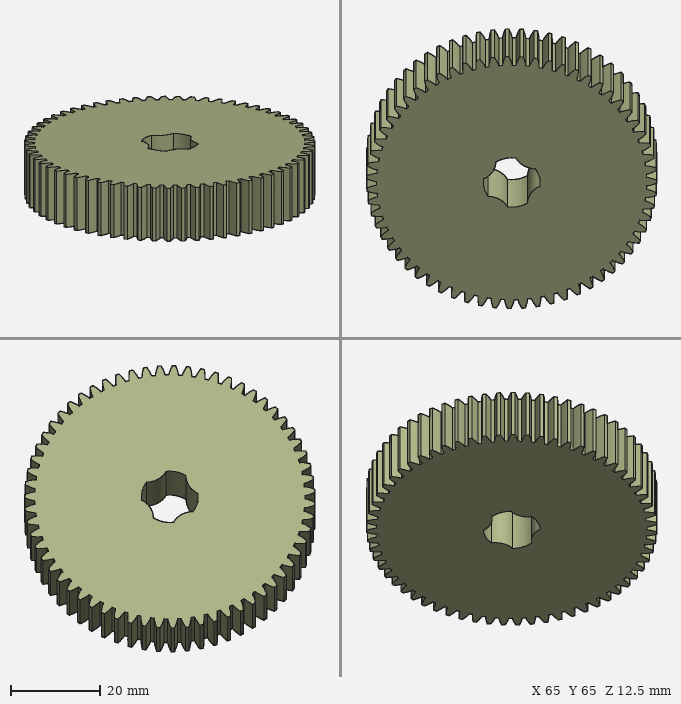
import math

import cadquery as cq

module = 1.0
tooth_count = 63
pressure_angle = math.radians(20)
addendum = module
dedendum = 1.25 * module
face_width = 12.5

pitch_radius = module * tooth_count / 2
base_radius = pitch_radius * math.cos(pressure_angle)
tip_radius = pitch_radius + addendum
root_radius = pitch_radius - dedendum
tooth_pitch_angle = 2 * math.pi / tooth_count
flank_steps = 4

bore_radius = 6.35
key_count = 4
key_crest_distance = 5.1
key_radius = 5.0


def polar(radius, angle):
    return (radius * math.cos(angle), radius * math.sin(angle))


def involute(angle):
    return math.tan(angle) - angle


def half_tooth_angle(radius):
    """Half the angle that a tooth spans at the given radius."""
    local_pressure_angle = math.acos(base_radius / radius)
    return tooth_pitch_angle / 4 + involute(pressure_angle) - involute(local_pressure_angle)


def make_gear_blank():
    """Toothed disc with one tooth centred on +X."""
    flank_step = (tip_radius - root_radius) / flank_steps
    flank_radii = [root_radius + flank_step * step for step in range(flank_steps + 1)]
    half_root_angle = half_tooth_angle(root_radius)

    outline = cq.Workplane("XY").moveTo(*polar(root_radius, -half_root_angle))
    for tooth in range(tooth_count):
        centre = tooth * tooth_pitch_angle
        next_centre = centre + tooth_pitch_angle
        gap_centre = centre + tooth_pitch_angle / 2
        rising = [polar(r, centre - half_tooth_angle(r)) for r in flank_radii]
        falling = [polar(r, centre + half_tooth_angle(r)) for r in reversed(flank_radii)]
        next_root = polar(root_radius, next_centre - half_root_angle)
        outline = outline.spline(rising[1:], includeCurrent=True)
        outline = outline.threePointArc(polar(tip_radius, centre), falling[0])
        outline = outline.spline(falling[1:], includeCurrent=True)
        outline = outline.threePointArc(polar(root_radius, gap_centre), next_root)
    return outline.close().extrude(face_width)


def make_bore():
    """Solid filling the keyed shaft opening."""
    bore = cq.Workplane("XY").circle(bore_radius).extrude(face_width)
    keys = (
        cq.Workplane("XY")
        .polarArray(key_crest_distance + key_radius, 0, 360, key_count)
        .circle(key_radius)
        .extrude(face_width)
    )
    return bore.cut(keys)


result = make_gear_blank().cut(make_bore())